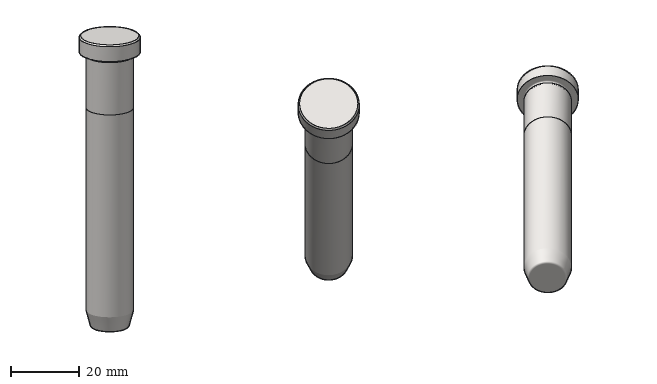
import cadquery as cq
import math

length = 90.0
head_diameter = 18.0
head_height = 5.0
head_chamfer = 0.45
shank_diameter = 14.0

undercut_depth = 0.4
undercut_width = 1.0
undercut_fillet = 0.45

taper_height = 5.0
taper_angle = 15.0
tip_radius = 0.6

joint_depth = 22.2

head_radius = head_diameter / 2
shank_radius = shank_diameter / 2
undercut_radius = shank_radius - undercut_depth
tip_end_radius = shank_radius - taper_height * math.tan(math.radians(taper_angle))
head_bottom = length - head_height
undercut_bottom = head_bottom - undercut_width
joint_height = length - joint_depth


def make_headed_pin():
    """Upper body: chamfered head, undercut and the top length of the shank."""
    fillet_shift = undercut_fillet * (1 - math.sqrt(0.5))
    profile = (
        cq.Workplane("XZ")
        .moveTo(0, joint_height)
        .lineTo(shank_radius, joint_height)
        .lineTo(shank_radius, undercut_bottom)
        .lineTo(undercut_radius, undercut_bottom)
        .lineTo(undercut_radius, head_bottom - undercut_fillet)
        .threePointArc(
            (undercut_radius + fillet_shift, head_bottom - fillet_shift),
            (undercut_radius + undercut_fillet, head_bottom),
        )
        .lineTo(head_radius, head_bottom)
        .lineTo(head_radius, length - head_chamfer)
        .lineTo(head_radius - head_chamfer, length)
        .lineTo(0, length)
        .close()
    )
    return profile.revolve(360, (0, 0, 0), (0, 1, 0))


def make_guide_shank():
    """Lower body: plain shank with a tapered, rounded tip."""
    profile = (
        cq.Workplane("XZ")
        .lineTo(tip_end_radius, 0)
        .lineTo(shank_radius, taper_height)
        .lineTo(shank_radius, joint_height)
        .lineTo(0, joint_height)
        .close()
    )
    shank = profile.revolve(360, (0, 0, 0), (0, 1, 0))
    return shank.faces("<Z").edges().fillet(tip_radius)


headed_pin = make_headed_pin()
guide_shank = make_guide_shank()

result = cq.Compound.makeCompound([headed_pin.val(), guide_shank.val()])